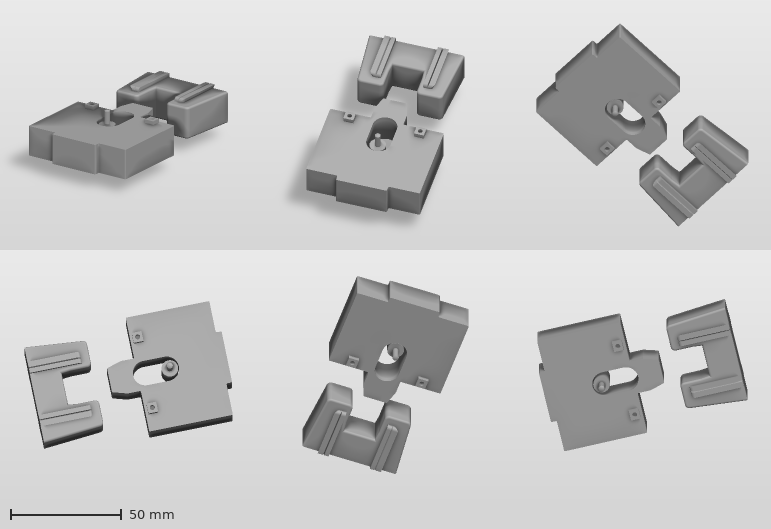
import cadquery as cq
import math


base_width = 53.5
base_length = 38.5
base_height = 14.2
step_width = 23.95
step_length = 2.7
tongue_width = 15.25
tongue_tip_width = 11.3
tongue_knee_y = 44.6
tongue_tip_y = 51.35
base_corner_radius = 0.5

slot_width = 11.3
slot_front_y = 19.4
slot_back_y = 40.5

stud_width = 4.7
stud_length = 4.4
stud_height = 2.0
stud_x = 16.6
stud_y = 35.0
stud_hole_diameter = 2.2
stud_hole_depth = stud_height

pin_length = 27.0
pin_diameter = 2.7
pin_dome_height = 0.4
collar_diameter = 7.5
collar_thickness = 13.3
pin_y = 23.6

overall_length = 88.7
slider_back_y = overall_length - step_length
slider_front_y = 58.0
slider_back_width = 44.9
slider_front_width = 39.9
slider_bottom_z = -7.1
slider_top_z = 8.0
slider_corner_radius = 1.95
slider_edge_radius = 1.0
notch_width = 15.5
notch_back_width = 14.6
notch_knee_y = 67.7
notch_back_y = 71.9

rail_inner_x = 9.9
rail_width = 5.2
rail_height = 1.95
rail_front_y = 62.0
rail_end_radius = 1.4
rail_undercut_angle = 20.0
groove_x = 12.0
groove_width = 0.6
groove_depth = 1.4


def mirrored(right_half):
    """Close an outline from its right half, listed from front to back."""
    left_half = [(-x, y) for x, y in reversed(right_half)]
    return cq.Workplane("XY").polyline(right_half + left_half).close()


def base_blank():
    outline = mirrored([
        (step_width / 2, -step_length),
        (step_width / 2, 0),
        (base_width / 2, 0),
        (base_width / 2, base_length),
        (tongue_width / 2, base_length),
        (tongue_width / 2, tongue_knee_y),
        (tongue_tip_width / 2, tongue_tip_y),
    ])
    blank = outline.extrude(base_height / 2, both=True)
    return blank.edges("|Z").fillet(base_corner_radius)


def base_slot():
    return (
        cq.Workplane("XY")
        .center(0, (slot_front_y + slot_back_y) / 2)
        .slot2D(slot_back_y - slot_front_y, slot_width, 90)
        .extrude(base_height, both=True)
    )


def top_stud(x):
    stud = (
        cq.Workplane("XY", origin=(x, stud_y, base_height / 2))
        .rect(stud_width, stud_length)
        .extrude(stud_height)
    )
    return stud.faces(">Z").workplane().hole(stud_hole_diameter, stud_hole_depth)


def make_base():
    base = base_blank().cut(base_slot())
    for x in (-stud_x, stud_x):
        stud = top_stud(x)
        base = base.union(stud).union(stud.mirror("XY"))
    return base


def make_pin():
    """Revolve half of the stepped profile and mirror it about the mid-plane."""
    radius = pin_diameter / 2
    tip_z = pin_length / 2
    dome_z = tip_z - pin_dome_height
    sphere_radius = (radius**2 + pin_dome_height**2) / (2 * pin_dome_height)
    arc_x = radius / 2
    arc_z = tip_z - sphere_radius + math.sqrt(sphere_radius**2 - arc_x**2)
    upper_half = (
        cq.Workplane("XZ", origin=(0, pin_y, 0))
        .lineTo(collar_diameter / 2, 0)
        .lineTo(collar_diameter / 2, collar_thickness / 2)
        .lineTo(radius, collar_thickness / 2)
        .lineTo(radius, dome_z)
        .threePointArc((arc_x, arc_z), (0, tip_z))
        .close()
        .revolve(360, (0, 0, 0), (0, 1, 0))
    )
    return upper_half.union(upper_half.mirror("XY"))


def slider_blank():
    outline = mirrored([
        (notch_back_width / 2, notch_back_y),
        (notch_width / 2, notch_knee_y),
        (notch_width / 2, slider_front_y),
        (slider_front_width / 2, slider_front_y),
        (slider_back_width / 2, slider_back_y),
    ])
    blank = outline.extrude(slider_top_z - slider_bottom_z)
    blank = blank.translate((0, 0, slider_bottom_z))
    blank = blank.faces("<Y").edges("|Z").fillet(slider_corner_radius)
    return blank.faces("<Z or >Z").edges("not >Y").fillet(slider_edge_radius)


def right_rail():
    """Right-hand rail standing on Z = 0, with its outer side undercut."""
    undercut = rail_height * math.tan(math.radians(rail_undercut_angle))
    rail_outer_x = rail_inner_x + rail_width
    rail = (
        cq.Workplane("XZ", origin=(0, rail_front_y, 0))
        .moveTo(rail_inner_x, 0)
        .lineTo(rail_outer_x - undercut, 0)
        .lineTo(rail_outer_x, rail_height)
        .lineTo(rail_inner_x, rail_height)
        .close()
        .extrude(rail_front_y - slider_back_y)
    )
    rail = rail.faces("<Y").edges(">X or >Z").fillet(rail_end_radius)
    return rail.cut(rail_groove())


def rail_groove():
    """Groove with an upright inner wall and a slanted outer wall."""
    return (
        cq.Workplane("XZ", origin=(0, rail_front_y, 0))
        .moveTo(groove_x, rail_height)
        .lineTo(groove_x + groove_width, rail_height)
        .lineTo(groove_x, rail_height - groove_depth)
        .close()
        .extrude(rail_front_y - slider_back_y)
    )


def make_slider():
    slider = slider_blank()
    upper_rail = right_rail().translate((0, 0, slider_top_z))
    lower_rail = right_rail().mirror("XY").translate((0, 0, slider_bottom_z))
    for rail in (upper_rail, lower_rail):
        slider = slider.union(rail).union(rail.mirror("YZ"))
    return slider


base = make_base()
pin = make_pin()
slider = make_slider()

result = cq.Compound.makeCompound([base.val(), pin.val(), slider.val()])